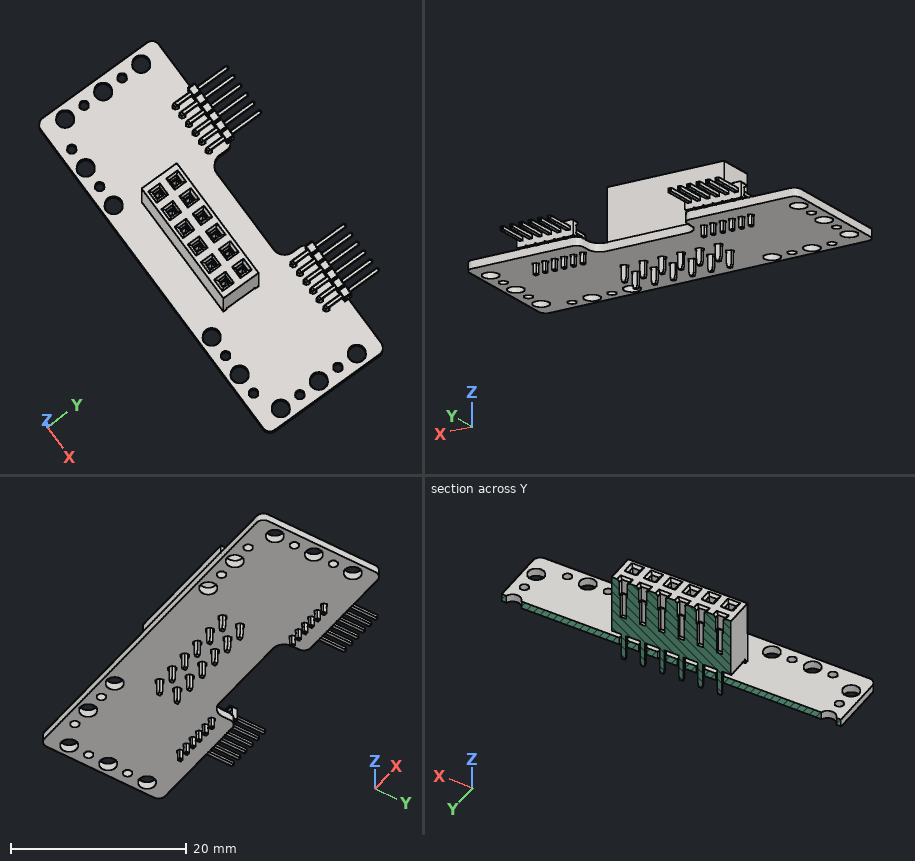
import cadquery as cq

BOARD_LENGTH = 44.8
BOARD_DEPTH = 16.7
BOARD_THICKNESS = 1.08
BOARD_CORNER_RADIUS = 1.0

NOTCH_WIDTH = 14.0
NOTCH_DEPTH = 3.5
NOTCH_FLOOR_RADIUS = 1.52
NOTCH_MOUTH_RADIUS = 1.0

LARGE_HOLE_DIAMETER = 2.05
SMALL_HOLE_DIAMETER = 1.08
HOLE_STEP = 2.7
SIDE_HOLE_X = BOARD_LENGTH / 2 - 1.6
SIDE_HOLE_Y = BOARD_DEPTH / 2
FRONT_HOLE_X = 9.45
FRONT_HOLE_Y = 1.52

SOCKET_LENGTH = 15.75
SOCKET_DEPTH = 4.97
SOCKET_HEIGHT = 8.5
SOCKET_Y = 6.8
SOCKET_ROWS = 2
SOCKET_COLUMNS = 6
SOCKET_PITCH = 12.7 / (SOCKET_COLUMNS - 1)
SOCKET_PIN_ROW_PITCH = 2.4
SOCKET_FOOT_THICKNESS = 0.5
SOCKET_FOOT_HEIGHT = 0.55
FUNNEL_MOUTH = 1.6
FUNNEL_DEPTH = 0.3
WELL_WIDTH = 1.0
WELL_DEPTH = 2.25
BORE_WIDTH = 0.7
BORE_DEPTH = 5.38
SOCKET_PIN_WIDTH = 0.65
SOCKET_PIN_DEPTH = 0.4
SOCKET_PIN_TIP_WIDTH = 0.4
SOCKET_PIN_TIP_LENGTH = 0.5
SOCKET_PIN_REACH = 1.93
SOCKET_PIN_HOLE_DIAMETER = 1.0

HEADER_X = 11.35
HEADER_PINS = 6
HEADER_PITCH = 6.35 / (HEADER_PINS - 1)
HEADER_BLOCK_DEPTH = 0.95
HEADER_BLOCK_HEIGHT = 2.0
HEADER_BLOCK_OVERHANG = 0.4
HEADER_BLOCK_CHAMFER = 0.15
HEADER_GROOVE_DEPTH = 0.25
HEADER_GROOVE_MOUTH = 1.2
HEADER_GROOVE_FLOOR = 0.95
HEADER_PIN_WIDTH = 0.45
HEADER_PIN_OVERHANG = 4.7
HEADER_PIN_INSET = 2.7
HEADER_PIN_REACH = 1.35
HEADER_PIN_TIP_CHAMFER = 0.15
HEADER_BEND_CHAMFER = 0.245
HEADER_PIN_HOLE_DIAMETER = 0.75

SIDES = (-1, 1)


def socket_points(row_pitch):
    """Centres of the socket contacts, with the rows row_pitch apart."""
    return [
        (
            (column - (SOCKET_COLUMNS - 1) / 2) * SOCKET_PITCH,
            SOCKET_Y + (row - (SOCKET_ROWS - 1) / 2) * row_pitch,
        )
        for column in range(SOCKET_COLUMNS)
        for row in range(SOCKET_ROWS)
    ]


def header_pin_xs(center_x):
    """X positions of the pins of the header centred on center_x."""
    return [center_x + (pin - (HEADER_PINS - 1) / 2) * HEADER_PITCH for pin in range(HEADER_PINS)]


def box(length, depth, height, x, y, z):
    """Box centred on (x, y) that rises from z."""
    return cq.Workplane("XY").box(length, depth, height, centered=(True, True, False)).translate((x, y, z))


def drill(board, points, diameter):
    """Drill a through hole at each point of the board."""
    return board.cut(cq.Workplane("XY").pushPoints(points).circle(diameter / 2).extrude(BOARD_THICKNESS))


def make_board():
    notch_floor_y = BOARD_DEPTH - NOTCH_DEPTH
    board = box(BOARD_LENGTH, BOARD_DEPTH, BOARD_THICKNESS, 0, BOARD_DEPTH / 2, 0)
    board = board.edges("|Z").fillet(BOARD_CORNER_RADIUS)
    board = board.cut(box(NOTCH_WIDTH, NOTCH_DEPTH, BOARD_THICKNESS, 0, notch_floor_y + NOTCH_DEPTH / 2, 0))

    half_notch = NOTCH_WIDTH / 2
    for y, radius in ((notch_floor_y, NOTCH_FLOOR_RADIUS), (BOARD_DEPTH, NOTCH_MOUTH_RADIUS)):
        for side in SIDES:
            corner = cq.selectors.NearestToPointSelector((side * half_notch, y, BOARD_THICKNESS / 2))
            board = board.edges("|Z").edges(corner).fillet(radius)

    large_holes = []
    small_holes = []
    for side in SIDES:
        side_x = side * SIDE_HOLE_X
        large_holes += [(side_x, SIDE_HOLE_Y + step * HOLE_STEP * 2) for step in (-1, 0, 1)]
        small_holes += [(side_x, SIDE_HOLE_Y + step * HOLE_STEP) for step in (-1, 1)]
        large_holes += [(side * (FRONT_HOLE_X + step * HOLE_STEP), FRONT_HOLE_Y) for step in (0, 2)]
        small_holes += [(side * (FRONT_HOLE_X + step * HOLE_STEP), FRONT_HOLE_Y) for step in (1, 3)]
    board = drill(board, large_holes, LARGE_HOLE_DIAMETER)
    board = drill(board, small_holes, SMALL_HOLE_DIAMETER)

    header_points = [
        (x, BOARD_DEPTH - HEADER_PIN_INSET) for side in SIDES for x in header_pin_xs(side * HEADER_X)
    ]
    board = drill(board, header_points, HEADER_PIN_HOLE_DIAMETER)
    return drill(board, socket_points(SOCKET_PIN_ROW_PITCH), SOCKET_PIN_HOLE_DIAMETER)


def make_socket_pin(x, y):
    """Flat contact pin whose end tapers in width."""
    half = SOCKET_PIN_WIDTH / 2
    half_tip = SOCKET_PIN_TIP_WIDTH / 2
    tip_z = -SOCKET_PIN_REACH
    root_z = BOARD_THICKNESS + SOCKET_FOOT_HEIGHT
    outline = [
        (-half, root_z),
        (-half, tip_z + SOCKET_PIN_TIP_LENGTH),
        (-half_tip, tip_z),
        (half_tip, tip_z),
        (half, tip_z + SOCKET_PIN_TIP_LENGTH),
        (half, root_z),
    ]
    pin = cq.Workplane("XZ").polyline(outline).close().extrude(SOCKET_PIN_DEPTH / 2, both=True)
    return pin.translate((x, y, 0))


def make_socket():
    """Socket housing with its contact pins."""
    top = BOARD_THICKNESS + SOCKET_HEIGHT
    mouth_points = socket_points(SOCKET_PITCH)
    pin_points = socket_points(SOCKET_PIN_ROW_PITCH)
    socket = box(SOCKET_LENGTH, SOCKET_DEPTH, SOCKET_HEIGHT, 0, SOCKET_Y, BOARD_THICKNESS)

    channel_width = SOCKET_DEPTH - 2 * SOCKET_FOOT_THICKNESS
    socket = socket.cut(box(SOCKET_LENGTH, channel_width, SOCKET_FOOT_HEIGHT, 0, SOCKET_Y, BOARD_THICKNESS))

    for (mouth_x, mouth_y), (pin_x, pin_y) in zip(mouth_points, pin_points):
        funnel = (
            cq.Workplane("XY", origin=(mouth_x, mouth_y, top))
            .rect(FUNNEL_MOUTH, FUNNEL_MOUTH)
            .workplane(offset=-FUNNEL_DEPTH)
            .center(pin_x - mouth_x, pin_y - mouth_y)
            .rect(WELL_WIDTH, WELL_WIDTH)
            .loft(ruled=True)
        )
        well = box(WELL_WIDTH, WELL_WIDTH, WELL_DEPTH, pin_x, pin_y, top - WELL_DEPTH)
        bore = box(BORE_WIDTH, BORE_WIDTH, BORE_DEPTH, pin_x, pin_y, top - BORE_DEPTH)
        socket = socket.cut(funnel).cut(well).cut(bore)
        socket = socket.union(make_socket_pin(pin_x, pin_y))
    return socket


def make_header_housing(center_x):
    """Row of joined octagonal blocks with a groove along its front."""
    rear_y = BOARD_DEPTH + HEADER_BLOCK_OVERHANG
    front_y = rear_y - HEADER_BLOCK_DEPTH
    middle_z = BOARD_THICKNESS + HEADER_BLOCK_HEIGHT / 2
    half_height = HEADER_BLOCK_HEIGHT / 2
    length = HEADER_PINS * HEADER_PITCH

    upper_edge = []
    for pin in range(HEADER_PINS):
        left = pin * HEADER_PITCH - length / 2
        right = left + HEADER_PITCH
        if pin == 0:
            upper_edge.append((left, half_height - HEADER_BLOCK_CHAMFER))
        upper_edge.append((left + HEADER_BLOCK_CHAMFER, half_height))
        upper_edge.append((right - HEADER_BLOCK_CHAMFER, half_height))
        upper_edge.append((right, half_height - HEADER_BLOCK_CHAMFER))
    lower_edge = [(x, -z) for x, z in reversed(upper_edge)]
    housing = (
        cq.Workplane("XZ", origin=(center_x, rear_y, middle_z))
        .polyline(upper_edge + lower_edge)
        .close()
        .extrude(HEADER_BLOCK_DEPTH)
    )

    groove_floor_y = front_y + HEADER_GROOVE_DEPTH
    groove = (
        cq.Workplane("YZ", origin=(center_x, 0, middle_z))
        .moveTo(front_y, HEADER_GROOVE_MOUTH / 2)
        .lineTo(groove_floor_y, HEADER_GROOVE_FLOOR / 2)
        .lineTo(groove_floor_y, -HEADER_GROOVE_FLOOR / 2)
        .lineTo(front_y, -HEADER_GROOVE_MOUTH / 2)
        .close()
        .extrude(length, both=True)
    )
    return housing.cut(groove)


def make_header_pin(x):
    """Square pin that runs forward through the housing and bends down through the board."""
    half = HEADER_PIN_WIDTH / 2
    rear_y = BOARD_DEPTH + HEADER_PIN_OVERHANG
    leg_y = BOARD_DEPTH - HEADER_PIN_INSET
    arm_z = BOARD_THICKNESS + HEADER_BLOCK_HEIGHT / 2
    bend = HEADER_BEND_CHAMFER
    pin = (
        cq.Workplane("YZ", origin=(x - half, 0, 0))
        .moveTo(rear_y, arm_z + half)
        .lineTo(leg_y - half + bend, arm_z + half)
        .lineTo(leg_y - half, arm_z + half - bend)
        .lineTo(leg_y - half, -HEADER_PIN_REACH)
        .lineTo(leg_y + half, -HEADER_PIN_REACH)
        .lineTo(leg_y + half, arm_z - half - bend)
        .lineTo(leg_y + half + bend, arm_z - half)
        .lineTo(rear_y, arm_z - half)
        .close()
        .extrude(HEADER_PIN_WIDTH)
    )
    return pin.faces(">Y").chamfer(HEADER_PIN_TIP_CHAMFER).faces("<Z").chamfer(HEADER_PIN_TIP_CHAMFER)


def make_header(center_x):
    """Pin header centred on center_x: a housing with its row of pins."""
    header = make_header_housing(center_x)
    for x in header_pin_xs(center_x):
        header = header.union(make_header_pin(x))
    return header


board = make_board()
socket = make_socket()
headers = [make_header(side * HEADER_X) for side in SIDES]

result = cq.Compound.makeCompound([board.val(), socket.val(), *[header.val() for header in headers]])